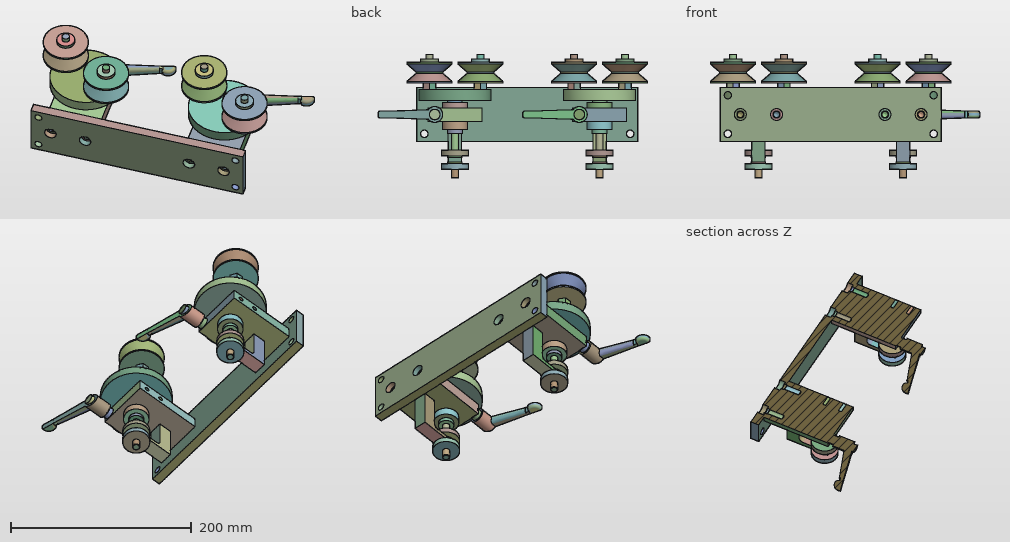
import cadquery as cq
import math

OVERALL_LENGTH = 298.5
STATION_SPACING = 160.0
PLATE_LENGTH = 245.0
PLATE_HEIGHT = 60.0
PLATE_THICKNESS = 10.0
CORNER_HOLE_DIAMETER = 8.0
CORNER_HOLE_INSET = 8.7

BLOCK_WIDTH = 60.0
BLOCK_REACH = 90.0
BLOCK_HEIGHT = 15.0
SPINDLE_INSET = 20.0
SPINDLE_Y = BLOCK_REACH - SPINDLE_INSET

SCREW_OFFSET = 20.0
SCREW_HEAD_DIAMETER = 13.0
SCREW_HEAD_DEPTH = 7.0
SCREW_CLEARANCE_DIAMETER = 8.0
TAPPED_DIAMETER = 7.0
TAPPED_DEPTH = 18.0
DRILL_POINT_HALF_ANGLE = 59.0

SIDE_HOLE_DIAMETER = 5.0
SIDE_HOLE_DEPTH = 12.0
SIDE_HOLE_OFFSET = 9.9

TABLE_DIAMETER = 80.0
TABLE_TOP = 27.5
TABLE_THICKNESS = 12.0
TABLE_BOTTOM = TABLE_TOP - TABLE_THICKNESS
BUSH_DIAMETER = 28.0
BUSH_TOP = 13.0
BUSH_BOTTOM = -16.7
TABLE_NECK_DIAMETER = 16.0
NECK_DIAMETER = 17.0
NECK_BOTTOM = -21.2
SPINDLE_DIAMETER = 8.0
SPINDLE_BOTTOM = -70.5
SPINDLE_CHAMFER = 0.5

BRACKET_WIDTH = 15.0
BRACKET_BACK_Y = 27.0
BRACKET_LEG = 15.2
BRACKET_FOOT_TOP = -47.5
BRACKET_FOOT_THICKNESS = 5.0
BRACKET_FOOT_OVERHANG = 7.8
BRACKET_FILLET = 5.0
BRACKET_BOTTOM = BRACKET_FOOT_TOP - BRACKET_FOOT_THICKNESS
COLLAR_DIAMETER = 30.0
COLLAR_THICKNESS = 6.3
WASHER_DIAMETER = 16.0
WASHER_THICKNESS = 1.8

ROLLER_CIRCLE_RADIUS = 32.5
ROLLER_ANGLE = 150.0
ROLLER_DIAMETER = 50.0
ROLLER_BOTTOM = 34.5
ROLLER_WIDTH = 23.3
ROLLER_RIM = 2.0
GROOVE_DIAMETER = 30.0
GROOVE_WIDTH = 1.8
NUT_CORNER_DIAMETER = 16.0
RETAINER_DIAMETER = 20.0
RETAINER_THICKNESS = 3.5
ROLLER_PIN_DIAMETER = 8.0
ROLLER_PIN_TOP = 66.5

LEVER_X = 22.5
LEVER_ANGLE = 15.3
LEVER_SHANK_DIAMETER = 13.5
LEVER_SHANK_LENGTH = 6.0
LEVER_HUB_DIAMETER = 17.5
LEVER_HUB_TOP = 117.5
LEVER_CAP_DIAMETER = 11.5
LEVER_CAP_TOP = 120.5
LEVER_ROOT_WIDTH = 11.0
LEVER_TIP_WIDTH = 8.0
LEVER_ROOT_DEPTH = 9.9
LEVER_NECK_DEPTH = 5.7
LEVER_NECK_AT = 46.3
LEVER_NOTCH_DEPTH = 4.2
LEVER_PAD_START = 50.0
LEVER_PAD_START_DEPTH = 7.2
LEVER_PAD_MIDDLE = 57.0
LEVER_PAD_DEPTH = 9.0
LEVER_TIP_DEPTH = 1.5
LEVER_UNDERSIDE_FLAT = 2.5
LEVER_SLOPE = math.radians(LEVER_ANGLE)
LEVER_DIRECTION = (math.cos(LEVER_SLOPE), math.sin(LEVER_SLOPE), 0)
ROLLER_REACH = ROLLER_DIAMETER / 2 - ROLLER_CIRCLE_RADIUS * math.cos(math.radians(ROLLER_ANGLE))
LEVER_REACH = OVERALL_LENGTH - STATION_SPACING - ROLLER_REACH - LEVER_X
LEVER_LENGTH = (LEVER_REACH - LEVER_TIP_DEPTH * math.sin(LEVER_SLOPE)) / math.cos(LEVER_SLOPE)


def disc(diameter, bottom, top, x=0.0, y=SPINDLE_Y):
    """Upright cylinder between two heights."""
    return cq.Workplane("XY", origin=(x, y, bottom)).circle(diameter / 2).extrude(top - bottom)


def disc_along_y(diameter, start, end, x):
    """Cylinder at mid-height running in +Y."""
    plane = cq.Plane(origin=(x, start, 0), xDir=(1, 0, 0), normal=(0, 1, 0))
    return cq.Workplane(plane).circle(diameter / 2).extrude(end - start)


def blind_hole(origin, direction, diameter, depth):
    """Drilled hole with a conical bottom, as a cutting body."""
    radius = diameter / 2
    point_length = radius / math.tan(math.radians(DRILL_POINT_HALF_ANGLE))
    half_section = [(0, 0), (radius, 0), (radius, depth), (0, depth + point_length)]
    up = cq.Vector(0, 0, 1)
    plane = cq.Plane(origin=origin, xDir=up, normal=up.cross(cq.Vector(*direction)))
    return cq.Workplane(plane).polyline(half_section).close().revolve(360, (0, 0, 0), (0, 1, 0))


def mounting_plate():
    """Plate with a through hole in each corner."""
    hole_spacing_x = PLATE_LENGTH - 2 * CORNER_HOLE_INSET
    hole_spacing_z = PLATE_HEIGHT - 2 * CORNER_HOLE_INSET
    return (
        cq.Workplane("XY")
        .box(PLATE_LENGTH, PLATE_THICKNESS, PLATE_HEIGHT, centered=(True, False, True))
        .faces("<Y")
        .workplane(origin=(0, 0, 0))
        .rect(hole_spacing_x, hole_spacing_z, forConstruction=True)
        .vertices()
        .hole(CORNER_HOLE_DIAMETER)
    )


def support_block():
    """Block holding the bush, with two blind holes in its -X side."""
    length = BLOCK_REACH - PLATE_THICKNESS
    block = (
        cq.Workplane("XY", origin=(0, PLATE_THICKNESS, 0))
        .box(BLOCK_WIDTH, length, BLOCK_HEIGHT, centered=(True, False, True))
    )
    for offset in (-SIDE_HOLE_OFFSET, SIDE_HOLE_OFFSET):
        start = (-BLOCK_WIDTH / 2, SPINDLE_Y + offset, 0)
        block = block.cut(blind_hole(start, (1, 0, 0), SIDE_HOLE_DIAMETER, SIDE_HOLE_DEPTH))
    return block


def turntable_and_spindle():
    """Round table, stepped bush and spindle, all on the pivot axis."""
    spindle = disc(SPINDLE_DIAMETER, SPINDLE_BOTTOM, TABLE_BOTTOM).faces("<Z").chamfer(SPINDLE_CHAMFER)
    return (
        spindle
        .union(disc(TABLE_DIAMETER, TABLE_BOTTOM, TABLE_TOP))
        .union(disc(TABLE_NECK_DIAMETER, BUSH_TOP, TABLE_BOTTOM))
        .union(disc(BUSH_DIAMETER, BUSH_BOTTOM, BUSH_TOP))
        .union(disc(NECK_DIAMETER, NECK_BOTTOM, BUSH_BOTTOM))
    )


def bracket():
    """L-shaped bracket with a rounded inner corner."""
    leg_front_y = BRACKET_BACK_Y + BRACKET_LEG
    foot_end_y = SPINDLE_Y + BRACKET_FOOT_OVERHANG
    top = -BLOCK_HEIGHT / 2
    outline = [
        (BRACKET_BACK_Y, top),
        (BRACKET_BACK_Y, BRACKET_BOTTOM),
        (foot_end_y, BRACKET_BOTTOM),
        (foot_end_y, BRACKET_FOOT_TOP),
        (leg_front_y, BRACKET_FOOT_TOP),
        (leg_front_y, top),
    ]
    body = cq.Workplane("YZ").polyline(outline).close().extrude(BRACKET_WIDTH / 2, both=True)
    inner_corner = cq.selectors.NearestToPointSelector((0, leg_front_y, BRACKET_FOOT_TOP))
    return body.edges("|X").edges(inner_corner).fillet(BRACKET_FILLET)


def spindle_collars():
    """A washer and a collar above the bracket foot, and the same below it."""
    upper_seat = BRACKET_FOOT_TOP + WASHER_THICKNESS
    lower_seat = BRACKET_BOTTOM - WASHER_THICKNESS
    return (
        disc(WASHER_DIAMETER, BRACKET_FOOT_TOP, upper_seat)
        .union(disc(COLLAR_DIAMETER, upper_seat, upper_seat + COLLAR_THICKNESS))
        .union(disc(WASHER_DIAMETER, lower_seat, BRACKET_BOTTOM))
        .union(disc(COLLAR_DIAMETER, lower_seat - COLLAR_THICKNESS, lower_seat))
    )


def roller(angle):
    """V-groove roller with its nut, retaining ring and pin."""
    x = ROLLER_CIRCLE_RADIUS * math.cos(math.radians(angle))
    y = SPINDLE_Y + ROLLER_CIRCLE_RADIUS * math.sin(math.radians(angle))
    top = ROLLER_BOTTOM + ROLLER_WIDTH
    middle = ROLLER_BOTTOM + ROLLER_WIDTH / 2
    half_section = [
        (0, ROLLER_BOTTOM),
        (ROLLER_DIAMETER / 2, ROLLER_BOTTOM),
        (ROLLER_DIAMETER / 2, ROLLER_BOTTOM + ROLLER_RIM),
        (GROOVE_DIAMETER / 2, middle - GROOVE_WIDTH / 2),
        (GROOVE_DIAMETER / 2, middle + GROOVE_WIDTH / 2),
        (ROLLER_DIAMETER / 2, top - ROLLER_RIM),
        (ROLLER_DIAMETER / 2, top),
        (0, top),
    ]
    wheel = (
        cq.Workplane("XZ", origin=(x, y, 0))
        .polyline(half_section)
        .close()
        .revolve(360, (0, 0, 0), (0, 1, 0))
    )
    nut = (
        cq.Workplane(cq.Plane(origin=(x, y, TABLE_TOP), xDir=(0, 1, 0), normal=(0, 0, 1)))
        .polygon(6, NUT_CORNER_DIAMETER)
        .extrude(ROLLER_BOTTOM - TABLE_TOP)
    )
    retainer_top = top + RETAINER_THICKNESS
    return (
        wheel.union(nut)
        .union(disc(RETAINER_DIAMETER, top, retainer_top, x, y))
        .union(disc(ROLLER_PIN_DIAMETER, retainer_top, ROLLER_PIN_TOP, x, y))
    )


def lever_section_plane(along=0.0):
    """Plane square to the handle, at a distance along its straight top edge."""
    origin = (LEVER_X + along * LEVER_DIRECTION[0], LEVER_HUB_TOP + along * LEVER_DIRECTION[1], 0)
    return cq.Plane(origin=origin, xDir=(0, 0, -1), normal=LEVER_DIRECTION)


def lever_side_plane():
    """Horizontal plane with its local X running along the handle's top edge."""
    return cq.Plane(origin=(LEVER_X, LEVER_HUB_TOP, 0), xDir=LEVER_DIRECTION, normal=(0, 0, 1))


def above_lever_top():
    """Block covering everything beyond the slanted plane of the handle's top."""
    return (
        cq.Workplane(lever_side_plane())
        .rect(3 * LEVER_LENGTH, LEVER_HUB_DIAMETER, centered=(True, False))
        .extrude(LEVER_HUB_DIAMETER, both=True)
    )


def handle_section(along, width, depth):
    """Handle section: flat top and sides, rounded into a narrow flat underside."""
    flat = LEVER_UNDERSIDE_FLAT / 2
    radius = width / 2 - flat
    bulge = radius * math.sqrt(0.5)
    round_top = radius - depth
    return (
        cq.Workplane(lever_section_plane(along))
        .moveTo(-width / 2, 0)
        .lineTo(-width / 2, round_top)
        .threePointArc((-flat - bulge, round_top - bulge), (-flat, -depth))
        .lineTo(flat, -depth)
        .threePointArc((flat + bulge, round_top - bulge), (width / 2, round_top))
        .lineTo(width / 2, 0)
        .close()
        .wire()
        .val()
    )


def finger_pad():
    """Deeper pad with a curved, rounded-over underside at the free end of the handle."""
    trim_height = LEVER_TIP_WIDTH
    pad = (
        cq.Workplane(lever_side_plane())
        .moveTo(LEVER_NECK_AT, trim_height)
        .lineTo(LEVER_PAD_START, -LEVER_PAD_START_DEPTH)
        .threePointArc((LEVER_PAD_MIDDLE, -LEVER_PAD_DEPTH), (LEVER_LENGTH, -LEVER_TIP_DEPTH))
        .lineTo(LEVER_LENGTH, trim_height)
        .close()
        .extrude(LEVER_TIP_WIDTH / 2, both=True)
        .faces("<Z or >Z")
        .edges()
        .fillet((LEVER_TIP_WIDTH - LEVER_UNDERSIDE_FLAT) / 2)
    )
    return pad.cut(above_lever_top())


def lever_handle():
    """Tapered bar, thin neck and finger pad joined end to end."""
    bar = cq.Solid.makeLoft([
        handle_section(0, LEVER_ROOT_WIDTH, LEVER_ROOT_DEPTH),
        handle_section(LEVER_NECK_AT, LEVER_TIP_WIDTH, LEVER_NECK_DEPTH),
    ], True)
    notch_neck = (
        cq.Workplane(lever_section_plane(LEVER_NECK_AT))
        .center(0, -LEVER_NOTCH_DEPTH / 2)
        .rect(LEVER_TIP_WIDTH, LEVER_NOTCH_DEPTH)
        .extrude(LEVER_PAD_START - LEVER_NECK_AT)
    )
    return cq.Workplane(bar).union(notch_neck).union(finger_pad())


def clamping_lever():
    """Shank, hub with a slanted top, cap and handle."""
    shank_end = BLOCK_REACH + LEVER_SHANK_LENGTH
    hub = disc_along_y(LEVER_HUB_DIAMETER, shank_end, LEVER_CAP_TOP, LEVER_X)
    return (
        hub.cut(above_lever_top())
        .union(disc_along_y(LEVER_SHANK_DIAMETER, BLOCK_REACH, shank_end, LEVER_X))
        .union(disc_along_y(LEVER_CAP_DIAMETER, shank_end, LEVER_CAP_TOP, LEVER_X))
        .union(lever_handle())
    )


def screw_hole(x):
    """Counterbored plate hole continuing as a tapped hole in the block."""
    return (
        blind_hole((x, 0, 0), (0, 1, 0), TAPPED_DIAMETER, PLATE_THICKNESS + TAPPED_DEPTH)
        .union(disc_along_y(SCREW_CLEARANCE_DIAMETER, 0, PLATE_THICKNESS, x))
        .union(disc_along_y(SCREW_HEAD_DIAMETER, 0, SCREW_HEAD_DEPTH, x))
    )


def station():
    """One complete roller station, centred on X = 0."""
    return (
        support_block()
        .union(turntable_and_spindle())
        .union(bracket())
        .union(spindle_collars())
        .union(roller(ROLLER_ANGLE))
        .union(roller(ROLLER_ANGLE + 180))
        .union(clamping_lever())
    )


result = mounting_plate()
one_station = station()
for station_x in (-STATION_SPACING / 2, STATION_SPACING / 2):
    result = result.union(one_station.translate((station_x, 0, 0)))
    for screw_offset in (-SCREW_OFFSET, SCREW_OFFSET):
        result = result.cut(screw_hole(station_x + screw_offset))